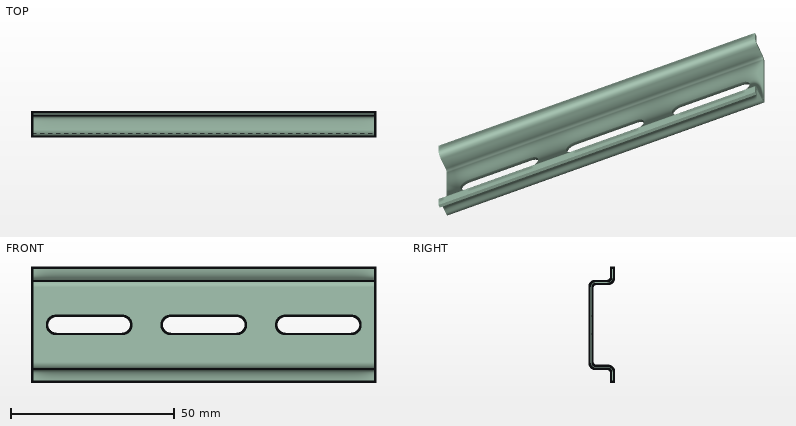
import cadquery as cq

length = 105.0
depth = 7.6
height = 35.0

thickness = 1.0
inner_bend_radius = 0.9
outer_bend_radius = inner_bend_radius + thickness

channel_height = 27.0

slot_count = 3
slot_pitch = 35.1
slot_length = 25.7
slot_width = 5.5

web_front = -depth / 2
web_back = web_front + thickness
flange_back = depth / 2
flange_front = flange_back - thickness
leg_outside = channel_height / 2
leg_inside = leg_outside - thickness


def block(y_min, y_max, z_half):
    """Full-length bar, symmetric in Z, between two Y planes."""
    return (
        cq.Workplane("XY")
        .box(length, y_max - y_min, 2 * z_half)
        .translate((0, (y_min + y_max) / 2, 0))
    )


def round_edges(body, y, z, radius):
    """Round the lengthwise edges at the given Y and at +/-Z."""
    for side in (-1, 1):
        edge = cq.selectors.NearestToPointSelector((0, y, side * z))
        body = body.edges(edge).fillet(radius)
    return body


def make_rail():
    """Bent sheet with a web, two legs and two outward flanges."""
    rail = block(web_front, flange_back, leg_outside)
    rail = rail.union(block(flange_front, flange_back, height / 2))
    rail = rail.cut(block(web_back, flange_back, leg_inside))
    rail = round_edges(rail, web_front, leg_outside, outer_bend_radius)
    rail = round_edges(rail, web_back, leg_inside, inner_bend_radius)
    rail = round_edges(rail, flange_front, leg_outside, inner_bend_radius)
    return round_edges(rail, flange_back, leg_inside, outer_bend_radius)


def make_slots():
    """Row of round-ended cutters through the web, centred on the rail."""
    return (
        cq.Workplane("XZ", origin=(0, web_back, 0))
        .rarray(slot_pitch, 1, slot_count, 1)
        .slot2D(slot_length, slot_width)
        .extrude(thickness)
    )


result = make_rail().cut(make_slots())